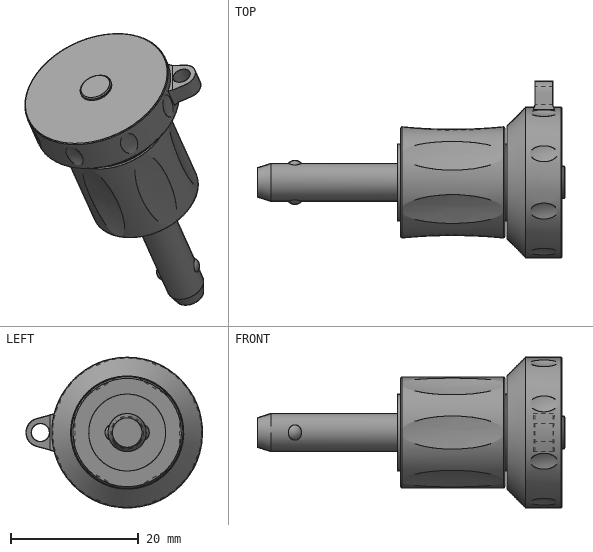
import cadquery as cq
import math

tip_length = 2.1
collar_start = 21.95
grip_start = 22.4
grip_end = 38.8
head_start = 39.1
rim_start = 42.05
rim_end = 47.7
button_end = 48.2

pin_radius = 3.0
tip_radius = 2.3
collar_radius = 6.02
grip_radius = 8.72
head_front_radius = 8.85
rim_radius = 11.8
button_radius = 2.55
grip_chamfer = 0.25
rim_chamfer = 0.15
button_chamfer = 0.2

ball_x = 5.9
ball_radius = 1.35
ball_reach = 3.45

flute_count = 6
flute_half_length = 8.0
flute_half_width = 2.6
flute_depth = 0.6
dimple_count = 8
dimple_half_length = 2.1
dimple_half_width = 1.35
dimple_depth = 0.3
scallop_overrun = 0.25

lug_tip = 15.85
lug_radius = 2.25
lug_hole_radius = 1.4
lug_thickness = 2.85
lug_taper_angle = 15
lug_root_y = 10.6
flare_top_y = 12.1
flare_base_y = 11.3
flare_growth = 0.3


def turned_body():
    """Pin, collar, grip, head and button as one profile turned about X."""
    outline = [
        (0, 0),
        (0, tip_radius),
        (tip_length, pin_radius),
        (collar_start, pin_radius),
        (collar_start, collar_radius),
        (grip_start, collar_radius),
        (grip_start, grip_radius - grip_chamfer),
        (grip_start + grip_chamfer, grip_radius),
        (grip_end - grip_chamfer, grip_radius),
        (grip_end, grip_radius - grip_chamfer),
        (grip_end, collar_radius),
        (head_start, collar_radius),
        (head_start, head_front_radius),
        (rim_start, rim_radius),
        (rim_end - rim_chamfer, rim_radius),
        (rim_end, rim_radius - rim_chamfer),
        (rim_end, button_radius),
        (button_end - button_chamfer, button_radius),
        (button_end, button_radius - button_chamfer),
        (button_end, 0),
    ]
    return cq.Workplane("XZ").polyline(outline).close().revolve(360, (0, 0, 0), (1, 0, 0))


def scallop_cutter(center_x, surface_radius, half_length, half_width, depth):
    """Barrel lying along X on the -Y side, biting the given depth into a cylinder."""
    arc_radius = (half_length**2 + depth**2) / (2 * depth)
    surface_sag = surface_radius - math.sqrt(surface_radius**2 - half_width**2)
    depth_below_chord = depth - surface_sag
    barrel_radius = (half_width**2 + depth_below_chord**2) / (2 * depth_below_chord)

    barrel_half_length = half_length + scallop_overrun
    end_sag = arc_radius - math.sqrt(arc_radius**2 - barrel_half_length**2)
    axis_y = depth - surface_radius - barrel_radius
    far_y = axis_y - barrel_radius
    start_x = center_x - barrel_half_length
    end_x = center_x + barrel_half_length
    return (
        cq.Workplane("XY")
        .moveTo(start_x, axis_y)
        .lineTo(start_x, far_y + end_sag)
        .threePointArc((center_x, far_y), (end_x, far_y + end_sag))
        .lineTo(end_x, axis_y)
        .close()
        .revolve(360, (start_x, axis_y, 0), (end_x, axis_y, 0))
    )


def cut_around(body, cutter, count, first_angle):
    """Cut equally spaced copies of the cutter around the X axis."""
    for index in range(count):
        angle = first_angle + index * 360 / count
        body = body.cut(cutter.rotate((0, 0, 0), (1, 0, 0), angle))
    return body


def detent_ball(side):
    ball_y = side * (ball_reach - ball_radius)
    return cq.Workplane("XY").sphere(ball_radius).translate((ball_x, ball_y, 0))


def lanyard_lug():
    """Round-ended eye with tapered sides and a flared root on the rim."""
    center_x = (rim_start + rim_end) / 2
    eye_y = lug_tip - lug_radius
    slope = math.tan(math.radians(lug_taper_angle))
    tangent_y = eye_y + lug_radius * math.sin(math.radians(lug_taper_angle))
    tangent_z = lug_radius * math.cos(math.radians(lug_taper_angle))

    def half_width_at(y):
        return tangent_z + (tangent_y - y) * slope

    root_z = half_width_at(lug_root_y)
    eye = (
        cq.Workplane("YZ", origin=(center_x, 0, 0))
        .moveTo(lug_root_y, -root_z)
        .lineTo(tangent_y, -tangent_z)
        .threePointArc((lug_tip, 0), (tangent_y, tangent_z))
        .lineTo(lug_root_y, root_z)
        .close()
        .extrude(lug_thickness / 2, both=True)
    )
    flare_width = 2 * half_width_at(flare_top_y)
    flare = (
        cq.Workplane("XZ", origin=(center_x, flare_top_y, 0))
        .rect(lug_thickness, flare_width)
        .workplane(offset=flare_top_y - flare_base_y)
        .rect(lug_thickness + 2 * flare_growth, flare_width + 2 * flare_growth)
        .loft()
    )
    hole = (
        cq.Workplane("YZ", origin=(center_x, 0, 0))
        .center(eye_y, 0)
        .circle(lug_hole_radius)
        .extrude(lug_thickness, both=True)
    )
    return eye.union(flare).cut(hole)


flute = scallop_cutter(
    (grip_start + grip_end) / 2, grip_radius, flute_half_length, flute_half_width, flute_depth
)
dimple = scallop_cutter(
    (rim_start + rim_end) / 2, rim_radius, dimple_half_length, dimple_half_width, dimple_depth
)

result = turned_body()
result = cut_around(result, flute, flute_count, 0)
result = cut_around(result, dimple, dimple_count, 180 / dimple_count)
for side in (-1, 1):
    result = result.union(detent_ball(side))

result = result.union(lanyard_lug())